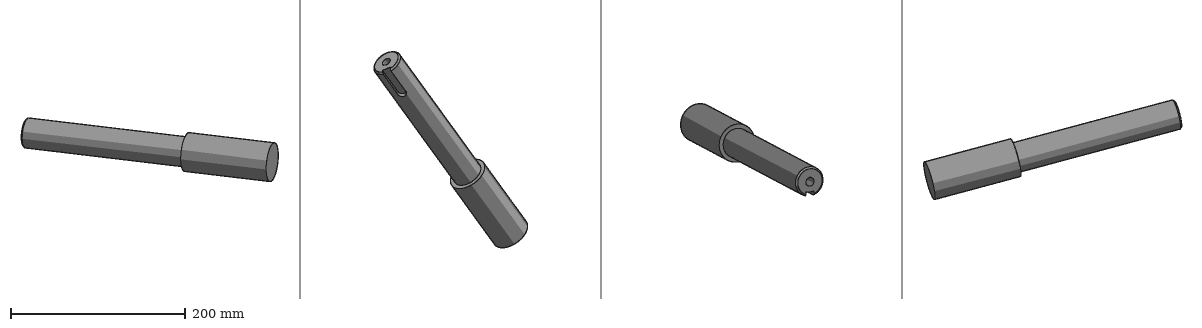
import cadquery as cq
import math

total_length = 298.0
head_diameter = 45.0
shaft_diameter = 35.0
shaft_length = 195.0
end_chamfer = 2.0

bore_diameter = 10.0
bore_depth = 29.8
drill_point_angle = 118.0

keyway_width = 10.0
keyway_length = 42.5
keyway_floor_offset = 12.0


def stepped_body():
    """Slim shaft with a chamfered free end, followed by a thicker head."""
    shaft = cq.Workplane("YZ").circle(shaft_diameter / 2).extrude(shaft_length)
    shaft = shaft.faces("<X").chamfer(end_chamfer)
    head = (
        cq.Workplane("YZ", origin=(shaft_length, 0, 0))
        .circle(head_diameter / 2)
        .extrude(total_length - shaft_length)
    )
    return shaft.union(head)


def center_bore():
    """Blind drilled hole with a conical bottom, revolved about the X axis."""
    radius = bore_diameter / 2
    point_length = radius / math.tan(math.radians(drill_point_angle / 2))
    return (
        cq.Workplane("XY")
        .moveTo(0, 0)
        .lineTo(0, radius)
        .lineTo(bore_depth, radius)
        .lineTo(bore_depth + point_length, 0)
        .close()
        .revolve(360, (0, 0, 0), (1, 0, 0))
    )


def keyway():
    """Slot under the shaft, open at the free end and round at the inner end."""
    radius = keyway_width / 2
    straight_length = keyway_length - radius
    return (
        cq.Workplane("XY", origin=(0, 0, -keyway_floor_offset))
        .moveTo(0, -radius)
        .lineTo(straight_length, -radius)
        .threePointArc((keyway_length, 0), (straight_length, radius))
        .lineTo(0, radius)
        .close()
        .extrude(-shaft_diameter / 2)
    )


result = stepped_body().cut(center_bore()).cut(keyway())